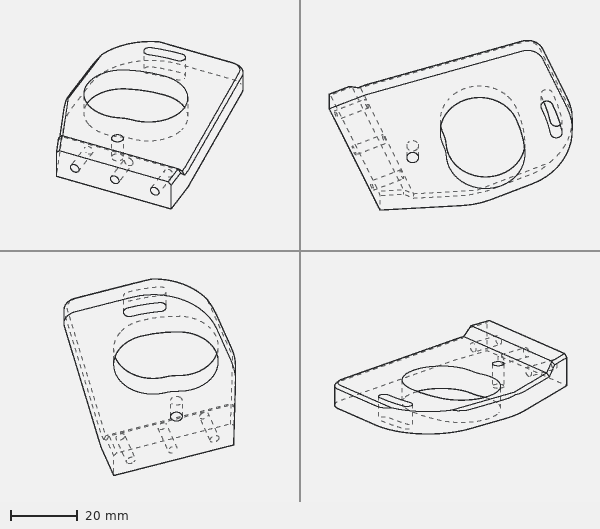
import cadquery as cq
import math

width = 47.9
length = 65.4
rail_height = 10.0
plate_height = 7.2
chamfer = 1.0

front_left_x = 10.0
left_slant_angle = 20.0
left_corner_y = front_left_x / math.tan(math.radians(left_slant_angle))
right_corner_y = 11.95
back_right_x = 42.4
back_right_radius = 5.0
back_left_radius = 20.0
left_corner_radius = 25.0

rail_depth = 7.05
step_end_y = rail_depth + rail_height - plate_height

pivot_x = 22.6
pivot_y = 16.2
pivot_diameter = 3.5
slot_swing_radius = 43.8
slot_width = 3.5
slot_swing = 12.4
window_swing_radius = 21.85
window_width = 23.55
window_swing = 20.6

front_hole_diameter = 2.8
front_hole_depth = 9.8
front_hole_spacing = 13.2
middle_hole_x = 29.3


def outline_prism():
    """Full-height prism of the outline with sharp corners."""
    corners = [
        (front_left_x, 0),
        (width, 0),
        (width, right_corner_y),
        (back_right_x, length),
        (0, length),
        (0, left_corner_y),
    ]
    return cq.Workplane("XY").polyline(corners).close().extrude(rail_height)


def vertical_edge_at(x, y):
    """Selector for the vertical edge standing at a corner of the outline."""
    return cq.selectors.NearestToPointSelector((x, y, rail_height / 2))


def side_profile():
    """Stepped side profile, swept across the full width."""
    points = [
        (0, 0),
        (length, 0),
        (length, plate_height),
        (step_end_y, plate_height),
        (rail_depth, rail_height),
        (0, rail_height),
    ]
    return cq.Workplane("YZ").polyline(points).close().extrude(width)


def is_rim_edge(edge):
    """True for upper side edges, but not the front edge or the step lines."""
    box = edge.BoundingBox()
    tolerance = 0.005
    upper = box.zmin > plate_height - tolerance
    front_or_step = box.ylen < tolerance and box.ymax < step_end_y + tolerance
    return upper and not front_or_step


def chamfer_rim(body):
    rim = [edge for edge in body.edges().vals() if is_rim_edge(edge)]
    return body.newObject(rim).chamfer(chamfer)


def swung_slot(swing_radius, slot_breadth, swing):
    """Through cutters for a slot swung about the pivot from +Y toward -X: the band and both round ends."""
    def point(radius, angle):
        turn = math.radians(angle)
        return (pivot_x - radius * math.sin(turn), pivot_y + radius * math.cos(turn))

    inner = swing_radius - slot_breadth / 2
    outer = swing_radius + slot_breadth / 2
    band = (
        cq.Workplane("XY")
        .moveTo(*point(inner, 0))
        .threePointArc(point(inner, swing / 2), point(inner, swing))
        .lineTo(*point(outer, swing))
        .threePointArc(point(outer, swing / 2), point(outer, 0))
        .close()
        .extrude(rail_height)
    )
    ends = [
        cq.Workplane("XY").center(*point(swing_radius, angle)).circle(slot_breadth / 2).extrude(rail_height)
        for angle in (0, swing)
    ]
    return [band, *ends]


def pivot_hole():
    return cq.Workplane("XY").center(pivot_x, pivot_y).circle(pivot_diameter / 2).extrude(rail_height)


def front_holes():
    """Row of blind holes running in +Y at mid-height of the front face."""
    centers = [(middle_hole_x + i * front_hole_spacing, rail_height / 2) for i in (-1, 0, 1)]
    return (
        cq.Workplane("XZ")
        .pushPoints(centers)
        .circle(front_hole_diameter / 2)
        .extrude(-front_hole_depth)
    )


prism = outline_prism().edges(vertical_edge_at(back_right_x, length)).fillet(back_right_radius)
body = chamfer_rim(prism.intersect(side_profile()))

left_rounds = prism.edges(vertical_edge_at(0, length)).fillet(back_left_radius)
left_rounds = left_rounds.edges(vertical_edge_at(0, left_corner_y)).fillet(left_corner_radius)
body = body.intersect(left_rounds)

cutters = [
    *swung_slot(slot_swing_radius, slot_width, slot_swing),
    *swung_slot(window_swing_radius, window_width, window_swing),
    pivot_hole(),
    front_holes(),
]
for cutter in cutters:
    body = body.cut(cutter)

result = body